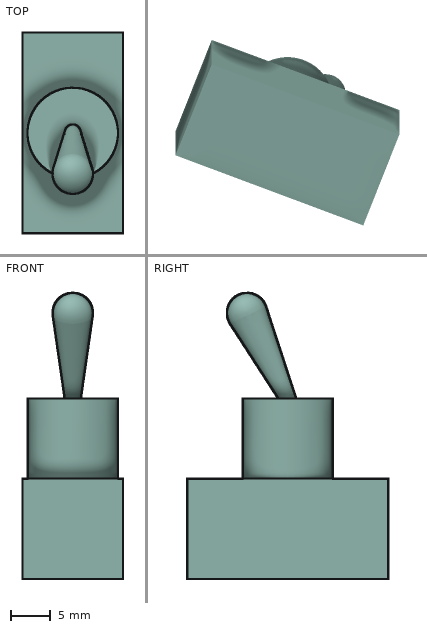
import cadquery as cq
import math

total_height = 36.2
body_width = 12.7
body_length = 2 * body_width
body_height = body_width

collar_diameter = 11.45
collar_height = 10.15
collar_top = body_height + collar_height

ball_radius = 2.57
taper_angle = math.radians(7.4)
lever_tilt = 25.5
buried_length = 1.1

ball_center_z = total_height - ball_radius
lever_length = (ball_center_z - collar_top) / math.cos(math.radians(lever_tilt))

contact_radius = ball_radius * math.cos(taper_angle)
contact_height = lever_length - ball_radius * math.sin(taper_angle)
buried_radius = contact_radius - (contact_height + buried_length) * math.tan(taper_angle)


def make_body():
    return cq.Workplane("XY").box(body_width, body_length, body_height, centered=(True, True, False))


def make_collar():
    return cq.Workplane("XY").workplane(offset=body_height).circle(collar_diameter / 2).extrude(collar_height)


def make_lever():
    """Revolve the half profile upright, then lean it about the collar's top centre."""
    ball_arc_offset = ball_radius * math.sqrt(0.5)
    upright = (
        cq.Workplane("XZ")
        .moveTo(0, -buried_length)
        .lineTo(buried_radius, -buried_length)
        .lineTo(contact_radius, contact_height)
        .threePointArc(
            (ball_arc_offset, lever_length + ball_arc_offset),
            (0, lever_length + ball_radius),
        )
        .close()
        .revolve(360, (0, 0, 0), (0, 1, 0))
    )
    return upright.rotate((0, 0, 0), (1, 0, 0), lever_tilt).translate((0, 0, collar_top))


result = make_body().union(make_collar()).union(make_lever())